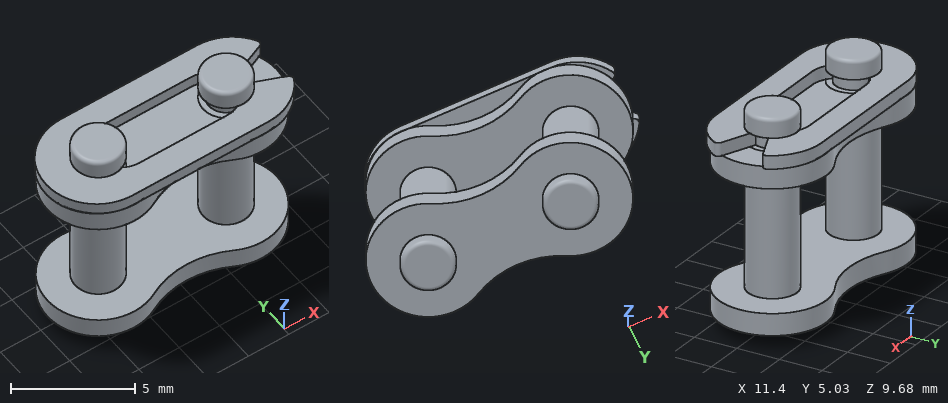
import cadquery as cq
import math


pitch = 6.35
pin_radius = 1.135
neck_radius = 0.85
pin_end_fillet = 0.2
pin_foot = 0.6
pin_head = 0.9

plate_thickness = 1.0
plate_gap = 5.58
plate_end_radius = 2.517
waist_start_x = 1.98

clip_thickness = 0.6
clip_end_radius = 2.5
clip_closed_end_x = -3.25
clip_open_end_x = 3.49
window_half_width = 1.25
window_left_x = -2.04
window_right_x = 2.34
split_half_angle = math.radians(22.5)
split_reach = 2 * clip_end_radius
tip_fillet = 0.2

pin_x = pitch / 2
pin_places = [(-pin_x, 0), (pin_x, 0)]
lower_plate_z = pin_foot
upper_plate_z = lower_plate_z + plate_thickness + plate_gap
clip_z = upper_plate_z + plate_thickness
head_z = clip_z + clip_thickness
pin_length = head_z + pin_head


def make_plate(base_z):
    """Figure-eight plate: two round ends joined by concave arcs tangent to both."""
    end_dx = pin_x - waist_start_x
    waist_start_y = math.sqrt(plate_end_radius**2 - end_dx**2)
    waist_centre_y = waist_start_y * pin_x / end_dx
    waist_radius = math.hypot(pin_x, waist_centre_y) - plate_end_radius
    waist_y = waist_centre_y - waist_radius
    end_x = pin_x + plate_end_radius
    blank = (
        cq.Workplane("XY", origin=(0, 0, base_z))
        .moveTo(-waist_start_x, waist_start_y)
        .threePointArc((0, waist_y), (waist_start_x, waist_start_y))
        .threePointArc((end_x, 0), (waist_start_x, -waist_start_y))
        .threePointArc((0, -waist_y), (-waist_start_x, -waist_start_y))
        .threePointArc((-end_x, 0), (-waist_start_x, waist_start_y))
        .close()
        .extrude(plate_thickness)
    )
    pin_holes = (
        cq.Workplane("XY", origin=(0, 0, base_z))
        .pushPoints(pin_places)
        .circle(pin_radius)
        .extrude(plate_thickness)
    )
    return blank.cut(pin_holes)


def make_pin(place):
    """Round pin with filleted ends and a neck that holds the clip."""
    x, y = place
    rod = (
        cq.Workplane("XY", origin=(x, y, 0))
        .circle(pin_radius)
        .extrude(pin_length)
        .faces("<Z or >Z")
        .edges()
        .fillet(pin_end_fillet)
    )
    groove = (
        cq.Workplane("XY", origin=(x, y, clip_z))
        .circle(pin_radius)
        .circle(neck_radius)
        .extrude(clip_thickness)
    )
    return rod.cut(groove)


def make_slot(left_x, right_x, half_width):
    """Round-ended block of clip thickness, given the centres of its two ends."""
    return (
        cq.Workplane("XY", origin=((left_x + right_x) / 2, 0, clip_z))
        .slot2D(right_x - left_x + 2 * half_width, 2 * half_width)
        .extrude(clip_thickness)
    )


def make_clip():
    """Flat clip with a long window, seats for the pin necks and a V-shaped split."""
    blank = make_slot(clip_closed_end_x, clip_open_end_x, clip_end_radius)

    split_half_width = split_reach * math.tan(split_half_angle)
    split = (
        cq.Workplane("XY", origin=(pin_x, 0, clip_z))
        .polyline([(0, 0), (split_reach, split_half_width), (split_reach, -split_half_width)])
        .close()
        .extrude(clip_thickness)
    )
    clip = blank.cut(split)

    tip_min_x = pin_x + neck_radius
    tip_max_x = clip_open_end_x + clip_end_radius
    tip_region = cq.selectors.BoxSelector(
        (tip_min_x, -clip_end_radius, clip_z),
        (tip_max_x, clip_end_radius, head_z),
    )
    clip = clip.edges("|Z").edges(tip_region).fillet(tip_fillet)

    window = make_slot(window_left_x, window_right_x, window_half_width)
    neck_seats = (
        cq.Workplane("XY", origin=(0, 0, clip_z))
        .pushPoints(pin_places)
        .circle(neck_radius)
        .extrude(clip_thickness)
    )
    return clip.cut(window).cut(neck_seats)


plates = [make_plate(z) for z in (lower_plate_z, upper_plate_z)]
pins = [make_pin(place) for place in pin_places]
clip = make_clip()

result = cq.Compound.makeCompound([body.solids().val() for body in [*plates, *pins, clip]])